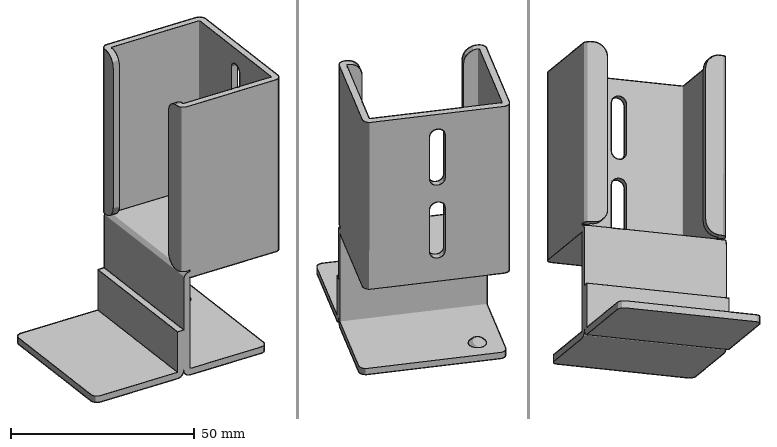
import cadquery as cq
import math

width = 41.2
height = 84.0
sheet = 2.0
outer_bend = 2.0
inner_bend = 0.3

cup_back = 31.4
cup_front = -sheet / 2
cup_bottom = 30.3
base_back = 26.8
foot_front = -28.65
foot_plate_top = 14.6
plate_corner = 2.0

lip_width = 6.4
lip_corner = 4.0
lip_gap = 0.3
slot_width = 4.4
slot_length = 18.0
upper_slot_z = 70.2
slot_pitch = 23.4

rivet_inset_x = 7.0
rivet_inset_y = 6.2
rivet_radius = 2.5
rivet_height = 1.5

floor_top = cup_bottom + sheet
half_width = width / 2
arc_point = math.sqrt(0.5)


def box(x_min, x_max, y_min, y_max, z_min, z_max):
    """Axis-aligned block between the given limits."""
    block = cq.Workplane("XY").box(x_max - x_min, y_max - y_min, z_max - z_min, centered=False)
    return block.translate((x_min, y_min, z_min))


def full_width(profile):
    """Extrude a closed YZ profile across the part."""
    return profile.close().extrude(half_width, both=True)


def make_rear_sheet():
    """Base, upright web and cup floor bent from one strip."""
    rounded = outer_bend * (1 - arc_point)
    profile = (
        cq.Workplane("YZ")
        .moveTo(base_back, 0)
        .lineTo(outer_bend, 0)
        .threePointArc((rounded, rounded), (0, outer_bend))
        .lineTo(0, floor_top - outer_bend)
        .threePointArc((rounded, floor_top - rounded), (outer_bend, floor_top))
        .lineTo(cup_back - sheet, floor_top)
        .lineTo(cup_back - sheet, cup_bottom)
        .lineTo(sheet, cup_bottom)
        .lineTo(sheet, sheet + inner_bend)
        .radiusArc((sheet + inner_bend, sheet), -inner_bend)
        .lineTo(base_back, sheet)
    )
    strip = full_width(profile)
    base_end = strip.faces(cq.selectors.NearestToPointSelector((0, base_back, sheet / 2)))
    return base_end.edges("|Z").fillet(plate_corner)


def make_front_foot():
    """Angle with its upright leg against the web."""
    rounded = outer_bend * (1 - arc_point)
    profile = (
        cq.Workplane("YZ")
        .moveTo(foot_front, 0)
        .lineTo(-outer_bend, 0)
        .threePointArc((-rounded, rounded), (0, outer_bend))
        .lineTo(0, foot_plate_top)
        .lineTo(-sheet, foot_plate_top)
        .lineTo(-sheet, sheet)
        .lineTo(foot_front, sheet)
    )
    return full_width(profile).faces("<Y").edges("|Z").fillet(plate_corner)


def make_cup():
    """Three-walled cup with front lips, open at the top."""
    depth = cup_back - cup_front
    middle = (cup_back + cup_front) / 2
    cup_height = height - cup_bottom
    outside = cq.Workplane("XY").rect(width, depth).extrude(cup_height).edges("|Z").fillet(outer_bend)
    inside = (
        cq.Workplane("XY")
        .rect(width - 2 * sheet, depth - 2 * sheet)
        .extrude(cup_height)
        .edges("|Z")
        .fillet(inner_bend)
    )
    cup = outside.cut(inside).translate((0, middle, cup_bottom))

    lip_bottom = floor_top + lip_gap
    relief = box(-half_width, half_width, cup_front, outer_bend, cup_bottom, lip_bottom)
    cup = cup.cut(relief)

    opening_half = half_width - lip_width
    front_back = cup_front + sheet
    opening = box(-opening_half, opening_half, cup_front, front_back, lip_bottom, height)
    cup = cup.cut(opening)
    for side in (-1, 1):
        for lip_end, inward in ((lip_bottom, 1), (height, -1)):
            cup = cup.cut(make_corner_waste(side, opening_half, lip_end, inward))

    slots = (
        cq.Workplane("XZ", origin=(0, cup_back, 0))
        .pushPoints([(0, upper_slot_z), (0, upper_slot_z - slot_pitch)])
        .slot2D(slot_length, slot_width, 90)
        .extrude(sheet)
    )
    return cup.cut(slots)


def make_corner_waste(side, opening_half, lip_end, inward):
    """Material outside the quarter round at one free lip corner."""
    x_edge = side * opening_half
    x_center = side * (opening_half + lip_corner)
    z_center = lip_end + inward * lip_corner
    arc_middle = (x_center - side * lip_corner * arc_point, z_center - inward * lip_corner * arc_point)
    return (
        cq.Workplane("XZ", origin=(0, cup_front + sheet, 0))
        .moveTo(x_edge, lip_end)
        .lineTo(x_center, lip_end)
        .threePointArc(arc_middle, (x_edge, z_center))
        .close()
        .extrude(sheet)
    )


def make_rivet():
    """Spherical-cap head standing on the base."""
    profile = (
        cq.Workplane("XZ")
        .lineTo(rivet_radius, 0)
        .radiusArc((0, rivet_height), -(rivet_radius**2 + rivet_height**2) / (2 * rivet_height))
        .close()
    )
    head = profile.revolve(360, (0, 0, 0), (0, 1, 0))
    return head.translate((-half_width + rivet_inset_x, base_back - rivet_inset_y, sheet))


result = make_rear_sheet().union(make_front_foot()).union(make_cup()).union(make_rivet())